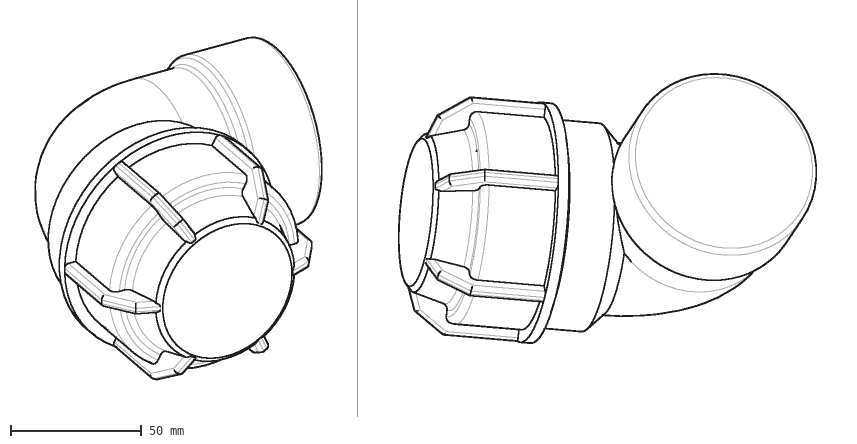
import cadquery as cq
import math


overall_x = 138.8
overall_y = 125
flange_d = 92.0
socket_d = 73.7
tube_d = 66.2
collar_d = 80.0
nut_d = 82.5
nut_mouth_d = 56.6

bend_radius = 26.5
socket_shoulder_y = 48.6
socket_end_y = overall_y - flange_d / 2
socket_mouth_fillet = 2.1
socket_neck_fillet = 2.8

collar_start_x = 33.5
collar_end_x = 51.1
flange_start_x = 52.9
flange_end_x = 57.0
nut_shoulder_x = 86.0
nut_end_x = overall_x - socket_d / 2
collar_flare_d = 83.6

nose_root_d = 68.6
nose_tip_d = 60.8
nose_tip_x = 100.2
nut_shoulder_fillet = 2.8
nose_root_fillet = 2.5

rib_count = 6
rib_width = 4.9
rib_edge_fillet = 1.7
rib_bevel_x = 97.9
rib_bevel_r = 37.9
rib_end_r = 27.5

pick_span = 0.1

tube_r = tube_d / 2


def circles_centred_at(body, x, y):
    """Circular edges of the body whose centre lies at (x, y, 0)."""
    low = (x - pick_span, y - pick_span, -pick_span)
    high = (x + pick_span, y + pick_span, pick_span)
    return body.edges("%CIRCLE").edges(cq.selectors.BoxSelector(low, high))


def make_bend():
    """Quarter turn of the tube about an axis parallel to Z."""
    trim_z = math.sqrt(tube_r**2 - bend_radius**2)
    section = (
        cq.Workplane("XZ", origin=(0, bend_radius, 0))
        .moveTo(bend_radius, -trim_z)
        .threePointArc((-tube_r, 0), (bend_radius, trim_z))
        .close()
    )
    return section.revolve(90, (bend_radius, 0, 0), (bend_radius, 1, 0))


def make_socket():
    """Straight tube widening through a 45 degree shoulder into the socket."""
    socket_r = socket_d / 2
    neck_y = socket_shoulder_y - (socket_r - tube_r)
    socket = (
        cq.Workplane("XY")
        .moveTo(0, bend_radius)
        .lineTo(tube_r, bend_radius)
        .lineTo(tube_r, neck_y)
        .lineTo(socket_r, socket_shoulder_y)
        .lineTo(socket_r, socket_end_y)
        .lineTo(0, socket_end_y)
        .close()
        .revolve(360, (0, 0, 0), (0, 1, 0))
    )
    for edge_y in (neck_y, socket_shoulder_y):
        socket = circles_centred_at(socket, 0, edge_y).fillet(socket_neck_fillet)
    return socket.faces(">Y").edges().fillet(socket_mouth_fillet)


def revolve_about_x(points):
    """Turned solid from an outline of (x, radius) points."""
    return cq.Workplane("XY").polyline(points).close().revolve(360, (0, 0, 0), (1, 0, 0))


def make_collar():
    """Cone, collar, flare and flange between the bend and the nut."""
    return revolve_about_x([
        (bend_radius, 0),
        (bend_radius, tube_r),
        (collar_start_x, collar_d / 2),
        (collar_end_x, collar_d / 2),
        (flange_start_x, collar_flare_d / 2),
        (flange_start_x, flange_d / 2),
        (flange_end_x, flange_d / 2),
        (flange_end_x, 0),
    ])


def make_nut():
    """Nut barrel with a rounded shoulder and a tapered nose."""
    nut = revolve_about_x([
        (flange_end_x, 0),
        (flange_end_x, nut_d / 2),
        (nut_shoulder_x, nut_d / 2),
        (nut_shoulder_x, nose_root_d / 2),
        (nose_tip_x, nose_tip_d / 2),
        (nut_end_x, nut_mouth_d / 2),
        (nut_end_x, 0),
    ])
    largest = cq.selectors.RadiusNthSelector(-1)
    smallest = cq.selectors.RadiusNthSelector(0)
    nut = circles_centred_at(nut, nut_shoulder_x, 0).edges(largest).fillet(nut_shoulder_fillet)
    return circles_centred_at(nut, nut_shoulder_x, 0).edges(smallest).fillet(nose_root_fillet)


def make_rib():
    """One grip rib on the +Y side of the nut, bevelled towards the mouth, with rounded outer edges."""
    rib = (
        cq.Workplane("XY")
        .polyline([
            (flange_end_x, 0),
            (flange_end_x, flange_d / 2),
            (nut_shoulder_x, flange_d / 2),
            (rib_bevel_x, rib_bevel_r),
            (nut_end_x, rib_end_r),
            (nut_end_x, 0),
        ])
        .close()
        .extrude(rib_width / 2, both=True)
    )
    return rib.edges("not (|Y or |Z or <Y)").fillet(rib_edge_fillet)


fitting = make_bend().union(make_socket()).union(make_collar()).union(make_nut())
first_rib = make_rib()
for i in range(rib_count):
    fitting = fitting.union(first_rib.rotate((0, 0, 0), (1, 0, 0), i * 360 / rib_count))

result = fitting